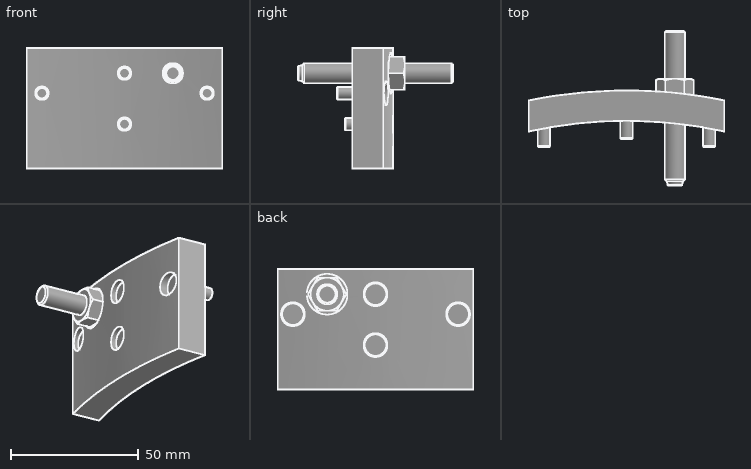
import cadquery as cq
import math

PLATE_WIDTH = 77.0
PLATE_HEIGHT = 47.5
PLATE_THICKNESS = 12.0
BACK_RADIUS = 190.2
FRONT_RADIUS = BACK_RADIUS - PLATE_THICKNESS
PLATE_TOP = PLATE_HEIGHT / 2

SCREW_DIAMETER = 5.0
SCREW_LENGTH = 12.0
SCREW_TIP_CHAMFER = 0.5
HEAD_DIAMETER = 8.5
HEAD_HEIGHT = 5.0
CLEARANCE_DIAMETER = 5.3
COUNTERBORE_DIAMETER = 9.4
SIDE_SCREW_X = 32.5
SIDE_SCREW_Z = PLATE_TOP - 17.9
SIDE_SCREW_TIP_Y = -22.3
UPPER_ROW_Z = PLATE_TOP - 10.0
LOWER_ROW_Z = UPPER_ROW_Z - 20.0
MIDDLE_SCREW_TIP_Y = -19.2

SCREW_PLACES = [
    (-SIDE_SCREW_X, SIDE_SCREW_Z, SIDE_SCREW_TIP_Y),
    (SIDE_SCREW_X, SIDE_SCREW_Z, SIDE_SCREW_TIP_Y),
    (0.0, UPPER_ROW_Z, MIDDLE_SCREW_TIP_Y),
    (0.0, LOWER_ROW_Z, MIDDLE_SCREW_TIP_Y),
]

STUD_X = 19.0
STUD_Z = UPPER_ROW_Z
STUD_DIAMETER = 8.0
STUD_LENGTH = 61.0
STUD_BACK_Y = 23.5
STUD_FRONT_Y = STUD_BACK_Y - STUD_LENGTH
STUD_BACK_CHAMFER = 0.7
STUD_TIP_LENGTH = 2.5
STUD_CONE_LENGTH = 0.7
STUD_TIP_ROOT_DIAMETER = 6.6
STUD_TIP_DIAMETER = 5.9
STUD_TIP_CHAMFER = 0.4

NUT_FLATS = 13.0
NUT_CORNERS = NUT_FLATS / math.cos(math.radians(30))
NUT_HEIGHT = 6.5
NUT_BACK_Y = 4.55
NUT_SEAT_Y = NUT_BACK_Y - NUT_HEIGHT
NUT_CHAMFER_ANGLE = 30.0
SPOTFACE_DIAMETER = 16.0

CLEAR_BACK_Y = PLATE_THICKNESS
CLEAR_FRONT_Y = -3 * PLATE_THICKNESS


def cylinder_along_y(x, z, start_y, end_y, diameter):
    """Cylinder parallel to Y between two Y levels."""
    plane = cq.Plane(origin=(x, start_y, z), xDir=(1, 0, 0), normal=(0, 1, 0))
    return cq.Workplane(plane).circle(diameter / 2).extrude(end_y - start_y)


def turned_along_y(x, z, profile):
    """Solid of revolution about a Y-parallel axis from (radius, y) points."""
    turned = cq.Workplane("XY").polyline(profile).close().revolve(360, (0, 0, 0), (0, 1, 0))
    return turned.translate((x, 0, z))


def arc_drop(radius):
    """Fall of an arc from its crown to the plate's side faces."""
    half_width = PLATE_WIDTH / 2
    return radius - math.sqrt(radius**2 - half_width**2)


def make_plate():
    half_width = PLATE_WIDTH / 2
    back_corner_y = -arc_drop(BACK_RADIUS)
    front_corner_y = -PLATE_THICKNESS - arc_drop(FRONT_RADIUS)
    plate = (
        cq.Workplane("XY", origin=(0, 0, -PLATE_HEIGHT / 2))
        .moveTo(-half_width, front_corner_y)
        .threePointArc((0, -PLATE_THICKNESS), (half_width, front_corner_y))
        .lineTo(half_width, back_corner_y)
        .threePointArc((0, 0), (-half_width, back_corner_y))
        .close()
        .extrude(PLATE_HEIGHT)
    )

    for x, z, tip_y in SCREW_PLACES:
        seat_y = tip_y + SCREW_LENGTH
        plate = plate.cut(cylinder_along_y(x, z, CLEAR_FRONT_Y, CLEAR_BACK_Y, CLEARANCE_DIAMETER))
        plate = plate.cut(cylinder_along_y(x, z, seat_y, CLEAR_BACK_Y, COUNTERBORE_DIAMETER))

    plate = plate.cut(cylinder_along_y(STUD_X, STUD_Z, CLEAR_FRONT_Y, CLEAR_BACK_Y, STUD_DIAMETER))
    return plate.cut(cylinder_along_y(STUD_X, STUD_Z, NUT_SEAT_Y, CLEAR_BACK_Y, SPOTFACE_DIAMETER))


def make_screw(x, z, tip_y):
    seat_y = tip_y + SCREW_LENGTH
    head_top_y = seat_y + HEAD_HEIGHT
    shank_radius = SCREW_DIAMETER / 2
    profile = [
        (0, tip_y),
        (shank_radius - SCREW_TIP_CHAMFER, tip_y),
        (shank_radius, tip_y + SCREW_TIP_CHAMFER),
        (shank_radius, seat_y),
        (HEAD_DIAMETER / 2, seat_y),
        (HEAD_DIAMETER / 2, head_top_y),
        (0, head_top_y),
    ]
    return turned_along_y(x, z, profile)


def make_stud():
    radius = STUD_DIAMETER / 2
    root_radius = STUD_TIP_ROOT_DIAMETER / 2
    tip_radius = STUD_TIP_DIAMETER / 2
    shoulder_y = STUD_FRONT_Y + STUD_TIP_LENGTH
    root_y = shoulder_y - STUD_CONE_LENGTH

    chamfer_y = STUD_FRONT_Y + STUD_TIP_CHAMFER
    flare = root_radius - tip_radius
    run = root_y - chamfer_y
    arc_radius = (run**2 + flare**2) / (2 * flare)
    half_angle = math.asin(run / arc_radius) / 2
    arc_middle = (
        tip_radius + arc_radius * (1 - math.cos(half_angle)),
        chamfer_y + arc_radius * math.sin(half_angle),
    )

    stud = (
        cq.Workplane("XY")
        .moveTo(0, STUD_FRONT_Y)
        .lineTo(tip_radius - STUD_TIP_CHAMFER, STUD_FRONT_Y)
        .lineTo(tip_radius, chamfer_y)
        .threePointArc(arc_middle, (root_radius, root_y))
        .lineTo(radius, shoulder_y)
        .lineTo(radius, STUD_BACK_Y - STUD_BACK_CHAMFER)
        .lineTo(radius - STUD_BACK_CHAMFER, STUD_BACK_Y)
        .lineTo(0, STUD_BACK_Y)
        .close()
        .revolve(360, (0, 0, 0), (0, 1, 0))
    )
    return stud.translate((STUD_X, 0, STUD_Z))


def make_nut():
    seat = cq.Plane(origin=(STUD_X, NUT_SEAT_Y, STUD_Z), xDir=(1, 0, 0), normal=(0, 1, 0))
    hexagon = cq.Workplane(seat).polygon(6, NUT_CORNERS).extrude(NUT_HEIGHT)

    flat_radius = NUT_FLATS / 2
    corner_radius = NUT_CORNERS / 2
    corner_drop = (corner_radius - flat_radius) * math.tan(math.radians(NUT_CHAMFER_ANGLE))
    envelope = turned_along_y(STUD_X, STUD_Z, [
        (0, NUT_SEAT_Y),
        (corner_radius, NUT_SEAT_Y),
        (corner_radius, NUT_BACK_Y - corner_drop),
        (flat_radius, NUT_BACK_Y),
        (0, NUT_BACK_Y),
    ])
    bore = cylinder_along_y(STUD_X, STUD_Z, NUT_SEAT_Y, NUT_BACK_Y, STUD_DIAMETER)
    return hexagon.intersect(envelope).cut(bore)


plate = make_plate()
screws = [make_screw(x, z, tip_y) for x, z, tip_y in SCREW_PLACES]
stud = make_stud()
nut = make_nut()

result = cq.Compound.makeCompound([
    plate.val(),
    *[screw.val() for screw in screws],
    stud.val(),
    nut.val(),
])